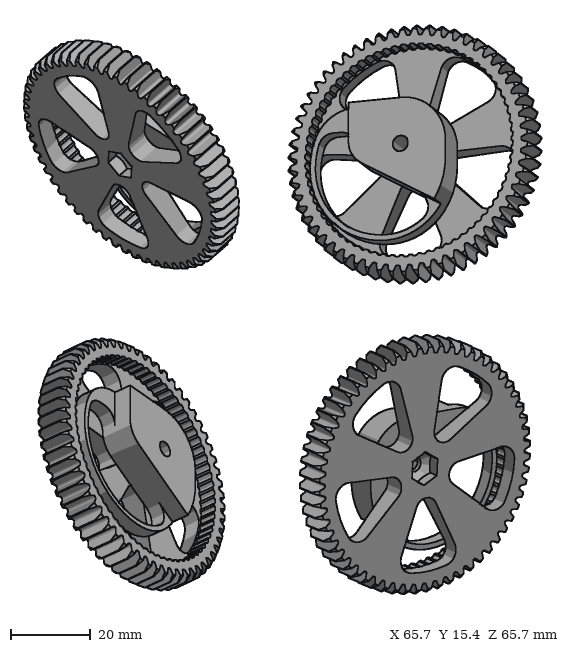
import cadquery as cq
import math

OVERALL_SIZE = 65.65
GEAR_WIDTH = 9.0

FIRST_OPENING_ANGLE = 56.7

RIM_WEB_THICKNESS = GEAR_WIDTH / 2
BOSS_WEB_THICKNESS = 6.4
BOSS_RADIUS = 7.2

TOOTH_COUNT = 60
TOOTH_TIP_ANGLE = 0.4
NEAREST_TIP_ANGLE = FIRST_OPENING_ANGLE % (360 / TOOTH_COUNT) - TOOTH_TIP_ANGLE / 2
GEAR_RADIUS = OVERALL_SIZE / 2 / math.cos(math.radians(NEAREST_TIP_ANGLE))
ROOT_RADIUS = 29.9
ROOT_FILLET = 0.6
TOOTH_CHAMFER_RADIAL = 1.3
TOOTH_CHAMFER_AXIAL = 1.7

OPENING_COUNT = 5
OPENING_OUTER_RADIUS = 27.0
OPENING_APEX_RADIUS = 2.9
OPENING_HALF_ANGLE = 23.3
OPENING_INNER_FILLET = 3.15
OPENING_OUTER_FILLET = 3.7

HEX_ACROSS_FLATS = 7.5
HEX_DEPTH = 3.0
HEX_CONE_DEPTH = 2.0
SHAFT_DIAMETER = 4.1

SCALLOP_COUNT = 72
SCALLOP_PHASE = FIRST_OPENING_ANGLE
RECESS_RADIUS = 27.3
SCALLOP_DEPTH = 0.45
RIDGE_WIDTH_ANGLE = 1.4

HUB_RADIUS = 12.0
HUB_HEIGHT = 6.35
ARM_DEPTH = 4.0
CAM_FRONT = BOSS_WEB_THICKNESS
HUB_DEPTH = GEAR_WIDTH + HUB_HEIGHT - CAM_FRONT
ARM_THICKNESS = 1.45
HUB_RIGHT_EDGE = 13.85
HUB_CUT_ANGLE = 30.0
HUB_CUT_LEVEL = -10.1
HUB_CORNER_RADIUS = 6.9
WINDOW_FILLET = 3.95
WINDOW_TOP = 5.9

ARM_START_DIRECTION = 90.0
ARM_ARCS = [(11.35, 22.0), (20.6, -90.0), (16.7, -146.0)]
ARM_END_DIRECTION = -180.0


def polar(radius, degrees, center=(0.0, 0.0)):
    """Point at a radius and a direction from a centre."""
    angle = math.radians(degrees)
    return (center[0] + radius * math.cos(angle), center[1] + radius * math.sin(angle))


def plane_at(y):
    """XZ workplane at depth y; a negative extrusion runs towards +Y."""
    return cq.Workplane("XZ", origin=(0, y, 0))


def gear_blank():
    """Disc with both rims chamfered."""
    face_radius = GEAR_RADIUS - TOOTH_CHAMFER_RADIAL
    return (
        cq.Workplane("XY")
        .moveTo(0, 0)
        .lineTo(face_radius, 0)
        .lineTo(GEAR_RADIUS, TOOTH_CHAMFER_AXIAL)
        .lineTo(GEAR_RADIUS, GEAR_WIDTH - TOOTH_CHAMFER_AXIAL)
        .lineTo(face_radius, GEAR_WIDTH)
        .lineTo(0, GEAR_WIDTH)
        .close()
        .revolve(360, (0, 0, 0), (0, 1, 0))
    )


def toothed_disc():
    """Disc with a ring of pointed teeth and a round root between each pair."""
    pitch = 360 / TOOTH_COUNT
    tip_half_angle = TOOTH_TIP_ANGLE / 2
    root_center = ROOT_RADIUS + ROOT_FILLET
    corner_x, corner_y = polar(GEAR_RADIUS, pitch / 2 - tip_half_angle)
    rise = corner_x - root_center
    flank = math.atan2(corner_y, rise) - math.asin(ROOT_FILLET / math.hypot(rise, corner_y))
    tangent_x = root_center - ROOT_FILLET * math.sin(flank)
    tangent_y = ROOT_FILLET * math.cos(flank)
    root_end_radius = math.hypot(tangent_x, tangent_y)
    root_half_angle = math.degrees(math.atan2(tangent_y, tangent_x))

    outline = plane_at(0).moveTo(*polar(GEAR_RADIUS, FIRST_OPENING_ANGLE - tip_half_angle))
    for i in range(TOOTH_COUNT):
        tooth = FIRST_OPENING_ANGLE + i * pitch
        root = tooth + pitch / 2
        outline = (
            outline
            .lineTo(*polar(GEAR_RADIUS, tooth + tip_half_angle))
            .lineTo(*polar(root_end_radius, root - root_half_angle))
            .threePointArc(polar(ROOT_RADIUS, root), polar(root_end_radius, root + root_half_angle))
            .lineTo(*polar(GEAR_RADIUS, tooth + pitch - tip_half_angle))
        )
    return outline.close().extrude(-GEAR_WIDTH)


def opening():
    """One rounded sector-shaped opening through the web, pointing along +X."""
    apex = OPENING_APEX_RADIUS
    side = math.radians(OPENING_HALF_ANGLE)
    length = -apex * math.cos(side) + math.sqrt(OPENING_OUTER_RADIUS**2 - (apex * math.sin(side)) ** 2)
    corner_x = apex + length * math.cos(side)
    corner_y = length * math.sin(side)
    return (
        plane_at(0)
        .moveTo(apex, 0)
        .lineTo(corner_x, -corner_y)
        .threePointArc((OPENING_OUTER_RADIUS, 0), (corner_x, corner_y))
        .close()
        .extrude(-BOSS_WEB_THICKNESS)
        .edges("|Y")
        .edges("<X")
        .fillet(OPENING_INNER_FILLET)
        .edges("|Y")
        .edges(">Z or <Z")
        .fillet(OPENING_OUTER_FILLET)
    )


def recess():
    """Rear recess with a conical floor and a wall of scallops with narrow ridges between them."""
    step = 360 / SCALLOP_COUNT
    ridge = RIDGE_WIDTH_ANGLE / 2
    outline = plane_at(RIM_WEB_THICKNESS).moveTo(*polar(RECESS_RADIUS, SCALLOP_PHASE - step / 2 + ridge))
    for i in range(SCALLOP_COUNT):
        middle = SCALLOP_PHASE + i * step
        outline = (
            outline
            .threePointArc(
                polar(RECESS_RADIUS + SCALLOP_DEPTH, middle),
                polar(RECESS_RADIUS, middle + step / 2 - ridge),
            )
            .lineTo(*polar(RECESS_RADIUS, middle + step / 2 + ridge))
        )
    cone = (
        cq.Workplane("XY")
        .moveTo(0, RIM_WEB_THICKNESS)
        .lineTo(RECESS_RADIUS, RIM_WEB_THICKNESS)
        .lineTo(BOSS_RADIUS, BOSS_WEB_THICKNESS)
        .lineTo(0, BOSS_WEB_THICKNESS)
        .close()
        .revolve(360, (0, 0, 0), (0, 1, 0))
    )
    return outline.close().extrude(RIM_WEB_THICKNESS - GEAR_WIDTH).cut(cone)


def hex_pocket():
    """Hexagonal pocket with a conical floor that narrows to the shaft hole."""
    cone_end = HEX_DEPTH + HEX_CONE_DEPTH
    corner_diameter = HEX_ACROSS_FLATS / math.cos(math.radians(30))
    pocket = plane_at(0).polygon(6, corner_diameter).extrude(-cone_end)
    cone = (
        cq.Workplane("XY")
        .lineTo(corner_diameter / 2, 0)
        .lineTo(corner_diameter / 2, HEX_DEPTH)
        .lineTo(SHAFT_DIAMETER / 2, cone_end)
        .lineTo(0, cone_end)
        .close()
        .revolve(360, (0, 0, 0), (0, 1, 0))
    )
    return pocket.intersect(cone).rotate((0, 0, 0), (0, -1, 0), FIRST_OPENING_ANGLE + 30)


def make_gear():
    """Spoked gear with its rear recess, openings, hexagonal pocket and shaft hole."""
    body = toothed_disc().intersect(gear_blank()).cut(recess())
    one_opening = opening()
    for i in range(OPENING_COUNT):
        angle = FIRST_OPENING_ANGLE + i * 360 / OPENING_COUNT
        body = body.cut(one_opening.rotate((0, 0, 0), (0, -1, 0), angle))
    shaft_hole = plane_at(0).circle(SHAFT_DIAMETER / 2).extrude(-GEAR_WIDTH)
    return body.cut(hex_pocket()).cut(shaft_hole)


def arm_arcs():
    """Centre, radius, start and end direction of each arc of the arm outline."""
    arcs = []
    direction = ARM_START_DIRECTION
    radius = ARM_ARCS[0][0]
    center = (HUB_RIGHT_EDGE, HUB_RADIUS - radius)
    for next_radius, end in ARM_ARCS:
        center = polar(radius - next_radius, direction, center)
        arcs.append((center, next_radius, direction, end))
        direction = end
        radius = next_radius
    reach = polar(radius, direction, center)[0] + HUB_RADIUS
    last_radius = reach / (1 + math.cos(math.radians(direction)))
    center = polar(radius - last_radius, direction, center)
    arcs.append((center, last_radius, direction, ARM_END_DIRECTION))
    return arcs


def cam_profile(inset):
    """Outline of the hub and arm together, moved inwards by an inset."""
    hub = HUB_RADIUS - inset
    outline = (
        plane_at(CAM_FRONT)
        .moveTo(-hub, 0)
        .threePointArc(polar(hub, 135), (0, hub))
        .lineTo(HUB_RIGHT_EDGE, hub)
    )
    for center, radius, start, end in arm_arcs():
        middle = polar(radius - inset, (start + end) / 2, center)
        outline = outline.threePointArc(middle, polar(radius - inset, end, center))
    return outline.close()


def hub_limits(height):
    """Block bounded by the hub's right side and its sloping lower edge."""
    slope = math.tan(math.radians(HUB_CUT_ANGLE))
    far = -GEAR_RADIUS
    corner_level = HUB_CUT_LEVEL + HUB_RIGHT_EDGE * slope
    block = (
        plane_at(CAM_FRONT)
        .moveTo(HUB_RIGHT_EDGE, corner_level)
        .lineTo(HUB_RIGHT_EDGE, GEAR_RADIUS)
        .lineTo(far, GEAR_RADIUS)
        .lineTo(far, HUB_CUT_LEVEL + far * slope)
        .close()
        .extrude(-height)
    )
    corner = cq.selectors.NearestToPointSelector((HUB_RIGHT_EDGE, CAM_FRONT + height / 2, corner_level))
    return block.edges(corner).fillet(HUB_CORNER_RADIUS)


def arm_window():
    """Opening between the hub and the arm, rounded at both ends."""
    above_window = (
        plane_at(CAM_FRONT)
        .moveTo(0, WINDOW_TOP)
        .rect(2 * GEAR_RADIUS, GEAR_RADIUS, centered=(True, False))
        .extrude(-ARM_DEPTH)
    )
    window = cam_profile(ARM_THICKNESS).extrude(-ARM_DEPTH)
    window = window.cut(hub_limits(ARM_DEPTH)).cut(above_window)
    window = window.edges("|Y").edges("<X").fillet(WINDOW_FILLET)
    return window.edges("|Y").edges(">Z").fillet(WINDOW_FILLET)


def make_cam():
    """Tall hub with a lower spring arm that curls round it."""
    hub = cam_profile(0).extrude(-HUB_DEPTH).intersect(hub_limits(HUB_DEPTH))
    body = cam_profile(0).extrude(-ARM_DEPTH).cut(arm_window()).union(hub)
    shaft_hole = plane_at(CAM_FRONT).circle(SHAFT_DIAMETER / 2).extrude(-HUB_DEPTH)
    return body.cut(shaft_hole)


gear = make_gear()
cam = make_cam()
result = cq.Compound.makeCompound([gear.val(), cam.val()])